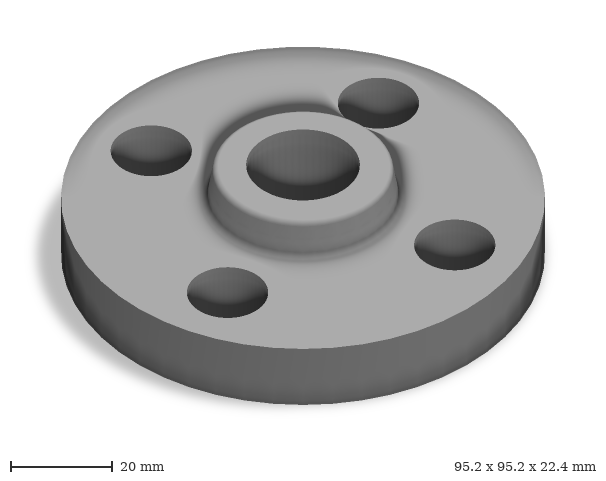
import cadquery as cq
import math

flange_diameter = 95.2
flange_thickness = 14.1

total_height = 22.4
hub_base_diameter = 38.1
hub_taper_angle = 10.0
hub_root_fillet = 1.5
hub_rim_fillet = 1.5

bore_diameter = 22.4

bolt_hole_count = 4
bolt_hole_diameter = 16.0
bolt_circle_diameter = 66.7

hub_height = total_height - flange_thickness
hub_base_radius = hub_base_diameter / 2
hub_top_radius = hub_base_radius - hub_height * math.tan(math.radians(hub_taper_angle))


def make_flange():
    """Round plate with its lower face at Z = 0."""
    return cq.Workplane("XY").circle(flange_diameter / 2).extrude(flange_thickness)


def make_hub():
    """Cone frustum that stands on the flange, with a rounded top rim."""
    hub = (
        cq.Workplane("XZ")
        .moveTo(0, flange_thickness)
        .lineTo(hub_base_radius, flange_thickness)
        .lineTo(hub_top_radius, total_height)
        .lineTo(0, total_height)
        .close()
        .revolve(360, (0, 0, 0), (0, 1, 0))
    )
    return hub.faces(">Z").edges().fillet(hub_rim_fillet)


def round_hub_root(body):
    """Fillet the hub base circle, the largest circle after the flange rims."""
    root_edge = cq.selectors.RadiusNthSelector(-2)
    return body.edges("%CIRCLE").edges(root_edge).fillet(hub_root_fillet)


def make_bore():
    """Cylinder that opens the hub and flange along the axis."""
    return cq.Workplane("XY").circle(bore_diameter / 2).extrude(total_height)


def make_bolt_holes():
    """Cylinders through the flange, evenly spaced on the bolt circle."""
    return (
        cq.Workplane("XY")
        .polarArray(bolt_circle_diameter / 2, 0, 360, bolt_hole_count)
        .circle(bolt_hole_diameter / 2)
        .extrude(flange_thickness)
    )


body = round_hub_root(make_flange().union(make_hub()))
result = body.cut(make_bore()).cut(make_bolt_holes())